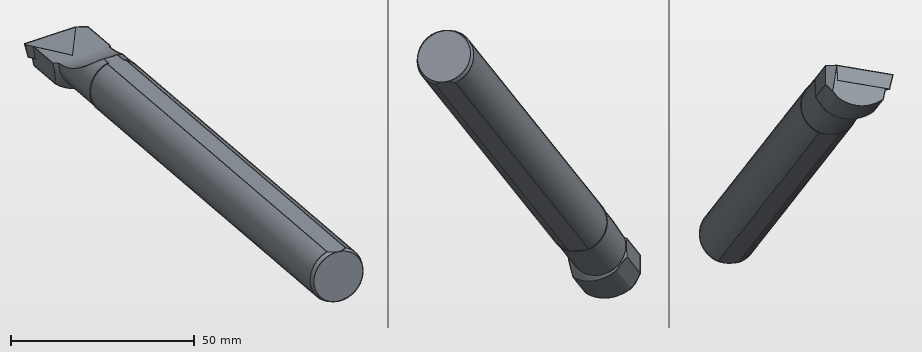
import cadquery as cq
import math

LENGTH = 170.0
NECK_END = 35.0
HEAD_LENGTH = 16.0
NECK_OVERLAP = 1.2

SHANK_DIAMETER = 16.0
NECK_DIAMETER = 15.6
FLAT_DISTANCE = 15.0
END_CHAMFER_LENGTH = 1.4
END_CHAMFER_DEPTH = 0.5

CLEARANCE = 6.0

HEAD_STOCK_TOP = 4.5
HEAD_FLANK_TOP_Y = -9.9
HEAD_FLANK_LOW_Y = -7.8
HEAD_BACK_Y = 8.0
HEAD_BOTTOM_Z = -8.8
HEAD_LOWEST_Y = -1.4
HEAD_ARC_END_Z = -6.6
HEAD_ARC_HALF_WIDTH = HEAD_LOWEST_Y - HEAD_FLANK_LOW_Y
HEAD_BACK_LOW_Z = -3.0
CORNER_LENGTH = 2.0

RAKE_Z = 1.4
RAKE_ANGLE = 6.5

SCOOP_CENTER_X = 1.7
SCOOP_FLAT_RADIUS = 15.0
SCOOP_RIM_RADIUS = 21.8
SCOOP_HEIGHT = 13.6

INSERT_EDGE = 16.2
INSERT_BACK_Y = 5.3
INSERT_THICKNESS = 4.0
INSERT_TIP_Y = -10.4
INSERT_APEX_TRIM = 0.2

MARGIN = 34.0


def rake_plane():
    """Plane of the insert's top face, with local x along X."""
    angle = math.radians(RAKE_ANGLE)
    normal = (0, -math.sin(angle), math.cos(angle))
    return cq.Plane(origin=(0, 0, RAKE_Z), xDir=(1, 0, 0), normal=normal)


def rake_section(start_x):
    """Plane square to the rake plane, along X, starting at the given X."""
    plane = rake_plane()
    return cq.Plane(
        origin=plane.toWorldCoords((start_x, 0, 0)),
        xDir=plane.xDir,
        normal=-plane.yDir,
    )


def make_round_bar():
    """Shank with a chamfered end and a narrower neck, flattened above and below."""
    neck_radius = NECK_DIAMETER / 2
    shank_radius = SHANK_DIAMETER / 2
    bar = (
        cq.Workplane("XY")
        .moveTo(HEAD_LENGTH - NECK_OVERLAP, 0)
        .lineTo(HEAD_LENGTH - NECK_OVERLAP, neck_radius)
        .lineTo(NECK_END, neck_radius)
        .lineTo(NECK_END, shank_radius)
        .lineTo(LENGTH - END_CHAMFER_LENGTH, shank_radius)
        .lineTo(LENGTH, shank_radius - END_CHAMFER_DEPTH)
        .lineTo(LENGTH, 0)
        .close()
        .revolve(360, (0, 0, 0), (1, 0, 0))
    )
    flat_stock = cq.Workplane("XY").box(
        LENGTH, MARGIN, MARGIN, centered=(False, True, False)
    )
    lower_flat = flat_stock.translate((NECK_END, 0, -FLAT_DISTANCE / 2 - MARGIN))
    upper_flat = flat_stock.translate((0, 0, FLAT_DISTANCE / 2))
    return bar.cut(upper_flat).cut(lower_flat)


def make_rear_cone():
    """45 degree cone that narrows the rear of the head down to the neck."""
    neck_radius = NECK_DIAMETER / 2
    return (
        cq.Workplane("XY")
        .lineTo(HEAD_LENGTH, 0)
        .lineTo(HEAD_LENGTH, neck_radius)
        .lineTo(0, neck_radius + HEAD_LENGTH)
        .close()
        .revolve(360, (0, 0, 0), (1, 0, 0))
    )


def make_head():
    """Bulged head with an undercut flank, a round belly and a conical rear."""
    head = (
        cq.Workplane("YZ")
        .moveTo(HEAD_FLANK_TOP_Y, HEAD_STOCK_TOP)
        .lineTo(HEAD_FLANK_LOW_Y, HEAD_ARC_END_Z)
        .threePointArc(
            (HEAD_LOWEST_Y, HEAD_BOTTOM_Z),
            (HEAD_LOWEST_Y + HEAD_ARC_HALF_WIDTH, HEAD_ARC_END_Z),
        )
        .lineTo(HEAD_BACK_Y, HEAD_BACK_LOW_Z)
        .lineTo(HEAD_BACK_Y, HEAD_STOCK_TOP)
        .close()
        .extrude(HEAD_LENGTH)
    )
    corner = (
        cq.Workplane("XY")
        .moveTo(0, INSERT_BACK_Y)
        .lineTo(CORNER_LENGTH, HEAD_BACK_Y)
        .lineTo(0, HEAD_BACK_Y)
        .close()
        .extrude(MARGIN, both=True)
    )
    return head.cut(corner).intersect(make_rear_cone())


def make_front_relief():
    """Wedge that leans the front face back below the rake plane."""
    run = MARGIN * math.tan(math.radians(CLEARANCE))
    return (
        cq.Workplane(rake_section(0))
        .lineTo(run, -MARGIN)
        .lineTo(-run, -MARGIN)
        .lineTo(-run, 0)
        .close()
        .extrude(MARGIN, both=True)
    )


def make_scoop():
    """Chip clearance: a disc on the rake plane whose rim curves upwards."""
    rise = SCOOP_RIM_RADIUS - SCOOP_HEIGHT
    reach = SCOOP_FLAT_RADIUS + math.sqrt(SCOOP_RIM_RADIUS**2 - rise**2)
    half_angle = math.acos(rise / SCOOP_RIM_RADIUS) / 2
    middle = (
        SCOOP_FLAT_RADIUS + SCOOP_RIM_RADIUS * math.sin(half_angle),
        SCOOP_RIM_RADIUS * (1 - math.cos(half_angle)),
    )
    return (
        cq.Workplane(rake_section(SCOOP_CENTER_X))
        .lineTo(SCOOP_FLAT_RADIUS, 0)
        .threePointArc(middle, (reach, SCOOP_HEIGHT))
        .lineTo(0, SCOOP_HEIGHT)
        .close()
        .revolve(360, (0, 0, 0), (0, 1, 0))
    )


def make_insert():
    """Triangular cutting insert with sides leaning in below its top face."""
    slope = math.tan(math.radians(30))
    tilt = math.cos(math.radians(RAKE_ANGLE))
    back_y = INSERT_BACK_Y / tilt
    tip_y = INSERT_TIP_Y / tilt
    apex_x = INSERT_EDGE / 2 / slope - INSERT_APEX_TRIM
    apex_y = back_y - INSERT_EDGE / 2
    apex_half_width = INSERT_APEX_TRIM * slope
    tip_x = (tip_y - (back_y - INSERT_EDGE)) / slope
    return (
        cq.Workplane(rake_plane())
        .moveTo(0, back_y)
        .lineTo(0, tip_y)
        .lineTo(tip_x, tip_y)
        .lineTo(apex_x, apex_y - apex_half_width)
        .lineTo(apex_x, apex_y + apex_half_width)
        .close()
        .extrude(-INSERT_THICKNESS, taper=CLEARANCE)
    )


insert = make_insert()
holder = make_round_bar().union(make_head())
holder = holder.cut(make_front_relief()).cut(make_scoop()).cut(insert)

result = cq.Compound.makeCompound([holder.val(), insert.val()])